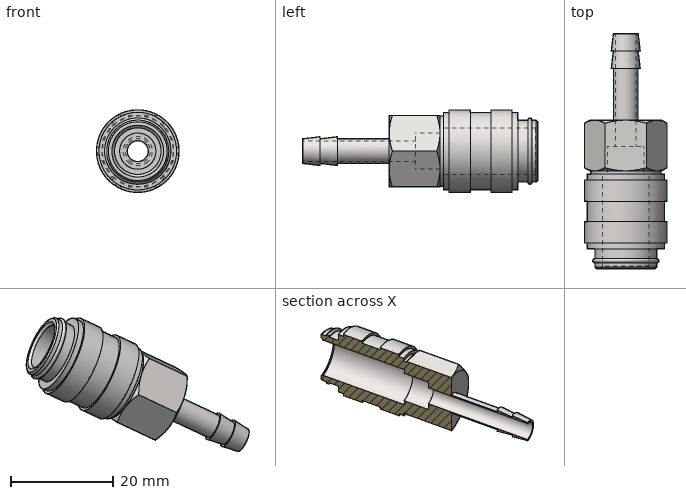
import cadquery as cq
import math

total_length = 46.0

nose_radius = 6.05
nose_chamfer = 0.3
bead_position = 1.55
bead_radius = 0.4

sleeve_start = 3.9
sleeve_end = 18.5
sleeve_radius = 7.6
ring_radius = 8.1
front_ring_start = 5.0
rear_ring_start = 13.2
ring_width = 4.2

neck_radius = 6.9
hex_start = 19.15
hex_end = 29.05
hex_across_corners = 2 * ring_radius
hex_chamfer_angle = 30.0

stem_radius = 2.45
barb_radius = 2.85
barb_length = 3.4
barb_count = 2

through_radius = 2.02
step_radius = 3.55
step_depth = 23.9
socket_radius = 4.55
socket_depth = sleeve_end
mouth_radius = 5.05
mouth_chamfer_depth = mouth_radius - socket_radius


def cylinder(radius, start, end):
    """Cylinder along Y from start to end."""
    plane = cq.Workplane("XZ", origin=(0, start, 0))
    return plane.circle(radius).extrude(start - end)


def revolve_about_y(profile):
    return profile.close().revolve(360, (0, 0, 0), (0, 1, 0))


def make_nose():
    profile = (
        cq.Workplane("XY")
        .lineTo(nose_radius - nose_chamfer, 0)
        .lineTo(nose_radius, nose_chamfer)
        .lineTo(nose_radius, bead_position - bead_radius)
        .threePointArc(
            (nose_radius + bead_radius, bead_position),
            (nose_radius, bead_position + bead_radius),
        )
        .lineTo(nose_radius, sleeve_start)
        .lineTo(0, sleeve_start)
    )
    return revolve_about_y(profile)


def make_sleeve():
    sleeve = cylinder(sleeve_radius, sleeve_start, sleeve_end)
    for start in (front_ring_start, rear_ring_start):
        sleeve = sleeve.union(cylinder(ring_radius, start, start + ring_width))
    return sleeve


def make_hex_nut():
    """Hexagon with corners on the X axis and conical chamfers at both ends."""
    corner_radius = hex_across_corners / 2
    flat_radius = corner_radius * math.cos(math.radians(30))
    chamfer_length = (corner_radius - flat_radius) * math.tan(math.radians(hex_chamfer_angle))
    hexagon = (
        cq.Workplane("XZ", origin=(0, hex_start, 0))
        .polygon(6, hex_across_corners)
        .extrude(hex_start - hex_end)
    )
    envelope = revolve_about_y(
        cq.Workplane("XY")
        .moveTo(0, hex_start)
        .lineTo(flat_radius, hex_start)
        .lineTo(corner_radius, hex_start + chamfer_length)
        .lineTo(corner_radius, hex_end - chamfer_length)
        .lineTo(flat_radius, hex_end)
        .lineTo(0, hex_end)
    )
    return hexagon.intersect(envelope)


def make_hose_stem():
    """Plain stem ending in barbs that taper toward the hose tip."""
    stem = cylinder(stem_radius, hex_end, total_length)
    for index in range(barb_count):
        barb_end = total_length - index * barb_length
        barb_start = barb_end - barb_length
        profile = (
            cq.Workplane("XY")
            .moveTo(0, barb_start)
            .lineTo(barb_radius, barb_start)
            .lineTo(stem_radius, barb_end)
            .lineTo(0, barb_end)
        )
        stem = stem.union(revolve_about_y(profile))
    return stem


def make_bore():
    profile = (
        cq.Workplane("XY")
        .lineTo(mouth_radius, 0)
        .lineTo(socket_radius, mouth_chamfer_depth)
        .lineTo(socket_radius, socket_depth)
        .lineTo(step_radius, socket_depth)
        .lineTo(step_radius, step_depth)
        .lineTo(through_radius, step_depth)
        .lineTo(through_radius, total_length)
        .lineTo(0, total_length)
    )
    return revolve_about_y(profile)


result = (
    make_nose()
    .union(make_sleeve())
    .union(cylinder(neck_radius, sleeve_end, hex_start))
    .union(make_hex_nut())
    .union(make_hose_stem())
    .cut(make_bore())
)